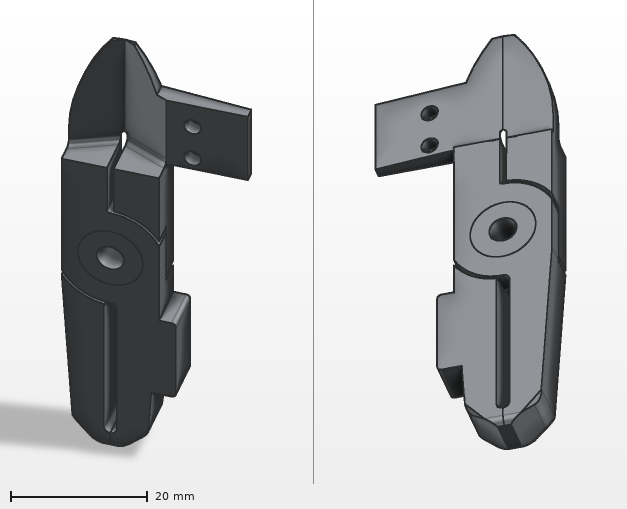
import cadquery as cq
import math


half_length = 36.0
half_width = 7.5
thickness = 7.0
half_thickness = thickness / 2
beyond = 7.2
pick_margin = 0.1

pin_diameter = 10.0
pin_radius = pin_diameter / 2
pin_bore_radius = 2.1
lap_disc_radius = 8.5
lap_pocket_radius = 9.0

jaw_base_z = 17.0
jaw_curve_start_z = 20.0
jaw_curve_radius = 25.0
jaw_base_fillet = 1.0
jaw_back_angle = 5.0

jaw_slot_width = 1.0
jaw_slot_top_z = 18.6
handle_slot_width = 2.0
handle_slot_bottom_z = -33.2

taper_start_z = -5.0
handle_corner_x = 5.75
handle_corner_z = -32.5
handle_corner_radius = 3.0
handle_tip_half_width = 1.0
tip_round_height = 1.45
tip_round_depth = 0.7
clip_start_z = -31.2
clip_end_x = 2.9
clip_end_z = -34.55

tab_end_x = 20.0
tab_top_z = 29.0
tab_fillet = 0.7
tab_hole_x = 11.5
tab_hole_zs = (19.0, 25.0)
tab_hole_radius = 1.3

lug_end_x = 10.1
lug_top_z = -10.0
lug_bottom_z = -24.0
lug_corner_radius = 0.7


def box_between(x0, x1, y0, y1, z0, z1):
    """Box with its opposite corners at the given coordinates."""
    return cq.Workplane("XY").box(x1 - x0, y1 - y0, z1 - z0, centered=False).translate((x0, y0, z0))


def y_cylinder(radius, y0, y1, x=0.0, z=0.0):
    """Cylinder along Y between y0 and y1."""
    return cq.Workplane("XZ", origin=(x, y0, z)).circle(radius).extrude(y0 - y1)


def through_y(sketch):
    """Extrude a closed XZ outline through the whole thickness."""
    return sketch.extrude(half_thickness, both=True)


def arm_blank():
    """Both arms together as one plate: pointed jaws above, tapered handles below."""
    rise = half_length - jaw_curve_start_z
    jaw_tip_x = half_width - jaw_curve_radius + math.sqrt(jaw_curve_radius**2 - rise**2)
    outline = (
        cq.Workplane("XZ")
        .moveTo(-half_width, taper_start_z)
        .lineTo(-half_width, jaw_curve_start_z)
        .radiusArc((-jaw_tip_x, half_length), jaw_curve_radius)
        .lineTo(jaw_tip_x, half_length)
        .radiusArc((half_width, jaw_curve_start_z), jaw_curve_radius)
        .lineTo(half_width, taper_start_z)
        .lineTo(handle_corner_x, handle_corner_z)
        .lineTo(handle_tip_half_width, -half_length)
        .lineTo(-handle_tip_half_width, -half_length)
        .lineTo(-handle_corner_x, handle_corner_z)
        .close()
    )
    blank = through_y(outline)
    corners = cq.selectors.BoxSelector(
        (-half_width, -half_thickness, handle_corner_z - pick_margin),
        (half_width, half_thickness, handle_corner_z + pick_margin),
    )
    blank = blank.edges(corners).edges("|Y").fillet(handle_corner_radius)
    blank = blank.intersect(rounded_bar())
    for side in (-1, 1):
        for face in (-1, 1):
            blank = blank.cut(tip_bevel(side, face))
    return blank


def rounded_bar():
    """Bar as thick as the plate, its lower end narrowed by an arc tangent to each flat face."""
    end_y = half_thickness - tip_round_depth
    arc_radius = (tip_round_height**2 + tip_round_depth**2) / (2 * tip_round_depth)
    arc_start_z = tip_round_height - half_length
    return (
        cq.Workplane("YZ")
        .moveTo(-half_thickness, half_length)
        .lineTo(-half_thickness, arc_start_z)
        .radiusArc((-end_y, -half_length), -arc_radius)
        .lineTo(end_y, -half_length)
        .radiusArc((half_thickness, arc_start_z), -arc_radius)
        .lineTo(half_thickness, half_length)
        .close()
        .extrude(half_width, both=True)
    )


def tip_bevel(side, face):
    """45 degree bevel across a rounded handle corner, at one side (X) and one flat face (Y)."""
    taper = (half_width - handle_corner_x) / (taper_start_z - handle_corner_z)
    start_x = half_width - taper * (taper_start_z - clip_start_z)
    run_x = clip_end_x - start_x
    run_z = clip_end_z - clip_start_z
    run = math.hypot(run_x, run_z)
    plane = cq.Plane(
        origin=(side * (start_x + run_x / 2), face * half_thickness, clip_start_z + run_z / 2),
        xDir=(side * run_x, 0, run_z),
        normal=(-side * run_z / run, face, run_x / run),
    )
    return cq.Workplane(plane).rect(2 * run, 2 * run).extrude(run)


def jaw_face_relief():
    """Front material removed so that each jaw slopes from mid thickness to an edge at the back."""
    relief = (
        cq.Workplane("XY", origin=(0, 0, jaw_base_z))
        .polyline([
            (0, half_thickness),
            (half_width, 0),
            (half_width, -half_thickness),
            (-half_width, -half_thickness),
            (-half_width, 0),
        ])
        .close()
        .extrude(half_length)
    )
    slope_feet = cq.selectors.BoxSelector(
        (-half_width, 0, jaw_base_z - pick_margin),
        (half_width, half_thickness, jaw_base_z + pick_margin),
    )
    return relief.edges(slope_feet).fillet(jaw_base_fillet)


def jaw_back_relief():
    """Shallow back bevel of the jaws and the tab, falling away from the parting plane."""
    drop = tab_end_x * math.tan(math.radians(jaw_back_angle))
    return (
        cq.Workplane("XY", origin=(0, 0, jaw_base_z))
        .polyline([
            (0, half_thickness),
            (tab_end_x, half_thickness - drop),
            (tab_end_x, half_thickness + beyond),
            (-tab_end_x, half_thickness + beyond),
            (-tab_end_x, half_thickness - drop),
        ])
        .close()
        .extrude(half_length)
    )


def slot_between(width, z_low, z_high):
    """Round-ended slot on the parting plane."""
    length = z_high - z_low
    sketch = cq.Workplane("XZ", origin=(0, 0, (z_low + z_high) / 2)).slot2D(length, width, 90)
    return through_y(sketch)


def arm_zone(front):
    """Space taken by one arm: the front arm runs from upper left to lower right."""
    jaw_side = -1 if front else 1
    reach = 2 * tab_end_x

    def quadrant(x_sign, z_sign):
        x0, x1 = sorted((0, x_sign * reach))
        z0, z1 = sorted((0, z_sign * reach))
        return box_between(x0, x1, -half_thickness, half_thickness, z0, z1)

    lap_y = (-half_thickness, 0) if front else (0, half_thickness)
    pocket_y = (0, half_thickness) if front else (-half_thickness, 0)
    zone = quadrant(jaw_side, 1).union(quadrant(-jaw_side, -1))
    zone = zone.cut(y_cylinder(lap_pocket_radius, *pocket_y))
    return zone.union(y_cylinder(lap_disc_radius, *lap_y))


def arm_core(front, plate):
    """One arm cut out of the plate, with the pin hole and both slots."""
    arm = plate.intersect(arm_zone(front))
    arm = arm.cut(slot_between(jaw_slot_width, lap_disc_radius, jaw_slot_top_z))
    arm = arm.cut(slot_between(handle_slot_width, handle_slot_bottom_z, -lap_disc_radius))
    return arm.cut(y_cylinder(pin_radius, -half_thickness, half_thickness))


def shape_jaws(plate):
    """Bevel the jaws of the plate on both faces."""
    return plate.cut(jaw_face_relief()).cut(jaw_back_relief())


def make_front_arm():
    lug = box_between(0, lug_end_x, -half_thickness, half_thickness, lug_bottom_z, lug_top_z)
    lug = lug.faces(">X").edges("|Y").fillet(lug_corner_radius)
    straight_side = box_between(0, half_width, -half_thickness, half_thickness, lug_top_z, taper_start_z)
    return arm_core(True, shape_jaws(arm_blank().union(lug).union(straight_side)))


def make_tab():
    """Tab beside the jaw, with a concave fillet where its lower edge meets the handle side."""
    tab = box_between(half_width, tab_end_x, 0, half_thickness, jaw_base_z, tab_top_z)
    fillet_end_x = half_width + tab_fillet
    fillet_base_z = jaw_base_z - tab_fillet
    web = box_between(half_width, fillet_end_x, 0, half_thickness, fillet_base_z, jaw_base_z)
    web = web.cut(y_cylinder(tab_fillet, 0, half_thickness, fillet_end_x, fillet_base_z))
    tab = tab.union(web).cut(jaw_back_relief().translate((0, 0, -tab_fillet)))
    for hole_z in tab_hole_zs:
        tab = tab.cut(y_cylinder(tab_hole_radius, 0, half_thickness, tab_hole_x, hole_z))
    return tab


def make_back_arm():
    jaw_shoulder = box_between(0, half_width, -half_thickness, half_thickness, jaw_base_z, tab_top_z)
    return arm_core(False, shape_jaws(arm_blank().union(jaw_shoulder))).union(make_tab())


def make_pin():
    pin = y_cylinder(pin_radius, -half_thickness, half_thickness)
    return pin.cut(y_cylinder(pin_bore_radius, -half_thickness, half_thickness))


front_arm = make_front_arm()
back_arm = make_back_arm()
pivot_pin = make_pin()

result = cq.Compound.makeCompound([
    front_arm.solids().val(),
    back_arm.solids().val(),
    pivot_pin.solids().val(),
])